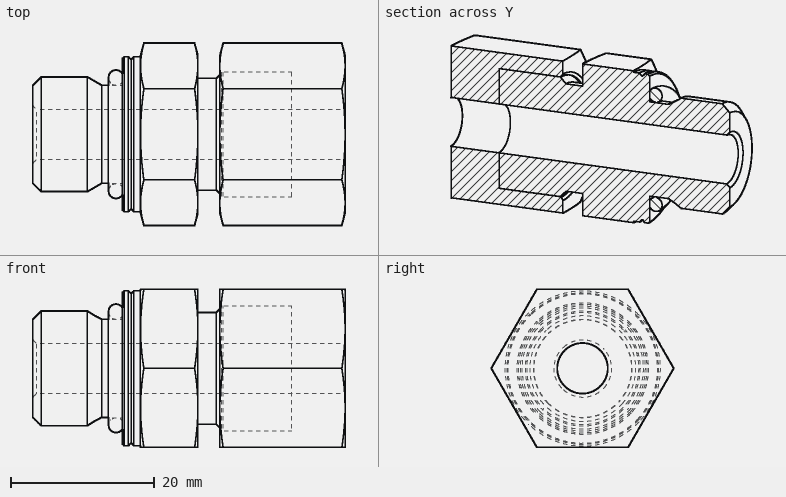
import cadquery as cq
import math


thread_end = 7.6
hex_start = 15.0
hex_length = 8.0
nut_start = 26.0
nut_length = 17.5
spigot_depth = 10.0
flange_length = 2.5
flange_start = hex_start - flange_length

thread_radius = 8.0
thread_chamfer = 1.2
neck_radius = 6.85
flange_radius = 10.8
flange_chamfer = 0.25
collar_radius = 7.8
bore_radius = 3.5
bore_chamfer = 0.5

groove_center = 13.7
groove_half_width = 0.4
groove_depth = 0.4

runout_angle = math.radians(30)
runout_length = (thread_radius - neck_radius) / math.tan(runout_angle)

spigot_radius = 8.7
spigot_cone_lead = 0.45
spigot_cone_start = nut_start - spigot_cone_lead
spigot_cone_end = spigot_cone_start + spigot_radius - collar_radius
spigot_end = nut_start + spigot_depth

countersink_radius = 9.15
countersink_angle = math.radians(60)
countersink_depth = (countersink_radius - spigot_radius) / math.tan(countersink_angle)

across_flats = 22.0
across_corners = across_flats / math.cos(math.pi / 6)
hex_chamfer_angle = math.radians(15)
hex_face_radius = 10.95
nut_face_radius = 10.85

ring_section_radius = 1.05
ring_center_offset = 0.9
ring_center_x = flange_start - ring_center_offset
ring_center_radius = neck_radius + ring_section_radius


def revolve_about_x(profile):
    """Turn a closed XY profile around the X axis."""
    return profile.revolve(360, (0, 0, 0), (1, 0, 0))


def cylinder(start, length, radius):
    """Round bar along X."""
    return cq.Workplane("YZ", origin=(start, 0, 0)).circle(radius).extrude(length)


def chamfered_hexagon(start, length, face_radius):
    """Hexagonal bar along X, its corners cut back by a cone at both ends."""
    bar = cq.Workplane("YZ", origin=(start, 0, 0)).polygon(6, across_corners).extrude(length)
    corner_radius = across_corners / 2
    setback = (corner_radius - face_radius) * math.tan(hex_chamfer_angle)
    end = start + length
    envelope = revolve_about_x(
        cq.Workplane("XY").polyline([
            (start, 0),
            (start, face_radius),
            (start + setback, corner_radius),
            (end - setback, corner_radius),
            (end, face_radius),
            (end, 0),
        ]).close()
    )
    return bar.intersect(envelope)


def make_fitting():
    """Stud thread, neck, grooved flange, hexagon and the spigot inside the nut, all bored through."""
    turned = revolve_about_x(
        cq.Workplane("XY").polyline([
            (0, 0),
            (0, thread_radius - thread_chamfer),
            (thread_chamfer, thread_radius),
            (thread_end, thread_radius),
            (thread_end + runout_length, neck_radius),
            (flange_start, neck_radius),
            (flange_start, flange_radius - flange_chamfer),
            (flange_start + flange_chamfer, flange_radius),
            (groove_center - groove_half_width, flange_radius),
            (groove_center, flange_radius - groove_depth),
            (groove_center + groove_half_width, flange_radius),
            (hex_start, flange_radius),
            (hex_start, collar_radius),
            (spigot_cone_start, collar_radius),
            (spigot_cone_end, spigot_radius),
            (spigot_end, spigot_radius),
            (spigot_end, 0),
        ]).close()
    )
    body = turned.union(chamfered_hexagon(hex_start, hex_length, hex_face_radius))
    body = body.cut(cylinder(0, spigot_end, bore_radius))
    bore_mouth = body.faces("<X").edges(cq.selectors.RadiusNthSelector(0))
    return bore_mouth.chamfer(bore_chamfer)


def make_o_ring():
    """Round-section ring with a flat where it bears on the flange."""
    flat_half_height = math.sqrt(ring_section_radius**2 - ring_center_offset**2)
    section = (
        cq.Workplane("XY")
        .moveTo(flange_start, ring_center_radius - flat_half_height)
        .threePointArc(
            (ring_center_x - ring_section_radius, ring_center_radius),
            (flange_start, ring_center_radius + flat_half_height),
        )
        .close()
    )
    return revolve_about_x(section)


def make_nut():
    """Hexagonal nut with a countersunk socket for the spigot and the bore carried on to the far end."""
    nut_end = nut_start + nut_length
    cavity = revolve_about_x(
        cq.Workplane("XY").polyline([
            (nut_start, 0),
            (nut_start, countersink_radius),
            (nut_start + countersink_depth, spigot_radius),
            (spigot_end, spigot_radius),
            (spigot_end, bore_radius),
            (nut_end, bore_radius),
            (nut_end, 0),
        ]).close()
    )
    return chamfered_hexagon(nut_start, nut_length, nut_face_radius).cut(cavity)


fitting = make_fitting()
o_ring = make_o_ring()
nut = make_nut()

result = cq.Compound.makeCompound([fitting.solids().val(), o_ring.val(), nut.solids().val()])